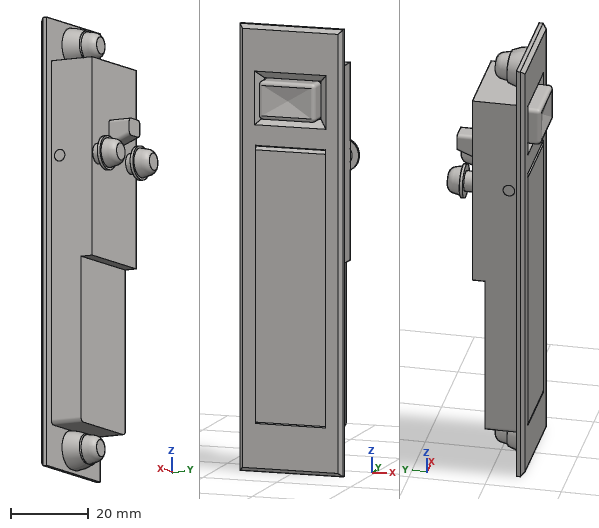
import cadquery as cq


plate_width = 28.0
plate_length = 117.0
plate_thickness = 2.1
plate_bevel = 1.0
front_y = -plate_thickness

box_width = 23.0
box_length = 94.9
box_depth = 12.0
box_low_depth = 8.8
box_step_z = -4.3
box_corner_radius = 1.2

button_width = 15.3
button_height = 10.1
button_z = 39.4
button_protrusion = 2.9
button_radius = 1.0
dish_depth = 1.0
recess_margin = 2.0
recess_depth = plate_thickness

paddle_width = 19.0
paddle_end_gap = 0.4
paddle_top_z = 26.7
paddle_bottom_z = -45.4
paddle_thickness = 7.0
paddle_bevel = 0.8
paddle_length = paddle_top_z - paddle_bottom_z
paddle_z = (paddle_top_z + paddle_bottom_z) / 2
pocket_length = paddle_length + 2 * paddle_end_gap
paddle_back_y = front_y + paddle_thickness

pin_radius = 1.5
pin_y = 2.5
pin_z = 22.6

latch_width = 5.5
latch_top_z = 32.4
latch_root_z = 25.6
latch_tip_z = 28.0
latch_reach = 6.0
latch_radius = 0.9
arm_overlap = 2.3

shank_radius = 2.7
flange_radius = 4.5
flange_thickness = 0.8
head_radius = 3.9
head_mid_radius = 3.69
head_mid_height = 0.9
head_shoulder_radius = 3.45
head_shoulder_height = 2.0
dome_radius = 2.98
dome_height = 3.0
head_top_radius = 2.2
head_height = 3.6
rear_screw_x = 8.5
rear_shank_length = 2.3

boss_z = 52.5
boss_height = 4.5
boss_straight = 1.9
boss_base_radius = 5.0
boss_mid_radius = 4.7
boss_top_radius = head_radius


def block(width, length, y_start, y_end, z_center=0.0):
    """Rectangular block centred on X, between two Y positions."""
    return (
        cq.Workplane("XY")
        .box(width, y_end - y_start, length)
        .translate((0, (y_start + y_end) / 2, z_center))
    )


def frustum(width, length, y, depth, inset, z_center):
    """Rectangle at y that shrinks by inset on each side over depth toward +Y."""
    return (
        cq.Workplane("XZ", origin=(0, y, z_center))
        .rect(width, length)
        .workplane(offset=-depth)
        .rect(width - 2 * inset, length - 2 * inset)
        .loft(ruled=True)
    )


def revolve_on_y(profile):
    """Turn an XY profile about the Y axis."""
    return profile.close().revolve(360, (0, 0, 0), (0, 1, 0))


def make_pin():
    return (
        cq.Workplane("YZ", origin=(-box_width / 2, pin_y, pin_z))
        .circle(pin_radius)
        .extrude(box_width)
    )


def make_button():
    """Rounded button with a shallow pyramid-shaped dish in its face, seated at the recess floor."""
    outer_y = front_y - button_protrusion
    back_y = front_y + recess_depth
    button = block(button_width, button_height, outer_y, back_y, button_z)
    button = button.edges("|Y or <Y").fillet(button_radius)
    dish_width = button_width - 2 * button_radius
    dish_height = button_height - 2 * button_radius
    half_width = dish_width / 2
    half_height = dish_height / 2
    corners = [
        cq.Vector(x, outer_y, button_z + z)
        for x, z in [
            (-half_width, -half_height),
            (half_width, -half_height),
            (half_width, half_height),
            (-half_width, half_height),
        ]
    ]
    apex = cq.Vector(0, outer_y + dish_depth, button_z)
    faces = [cq.Face.makeFromWires(cq.Wire.makePolygon(corners, close=True))]
    for start, end in zip(corners, corners[1:] + corners[:1]):
        faces.append(cq.Face.makeFromWires(cq.Wire.makePolygon([start, end, apex], close=True)))
    dish = cq.Solid.makeSolid(cq.Shell.makeShell(faces))
    return button.cut(cq.Workplane(dish))


def make_latch_arm():
    """Bar from the back of the paddle through the box, ending in a sloped hook."""
    arm = (
        cq.Workplane("YZ", origin=(-latch_width / 2, 0, 0))
        .moveTo(paddle_back_y - arm_overlap, latch_top_z)
        .lineTo(box_depth + latch_reach, latch_top_z)
        .lineTo(box_depth + latch_reach, latch_tip_z)
        .lineTo(box_depth, latch_root_z)
        .lineTo(paddle_back_y - arm_overlap, latch_root_z)
        .close()
        .extrude(latch_width)
    )
    long_edges = arm.edges("(>Z or <Z) and |Y").add(arm.edges("not(|X or |Y or |Z)"))
    return long_edges.fillet(latch_radius)


def make_paddle():
    paddle = block(paddle_width, paddle_length, front_y, paddle_back_y, paddle_z)
    paddle = paddle.edges("<Y and >Z").chamfer(paddle_bevel)
    return paddle.union(make_latch_arm()).cut(make_pin())


def make_housing():
    plate = block(plate_width, plate_length, front_y, 0)
    plate = plate.faces("<Y").chamfer(plate_bevel)
    half_length = box_length / 2
    box = (
        cq.Workplane("YZ", origin=(-box_width / 2, 0, 0))
        .moveTo(0, half_length)
        .lineTo(box_depth, half_length)
        .lineTo(box_depth, box_step_z)
        .lineTo(box_low_depth, box_step_z)
        .lineTo(box_low_depth, -half_length)
        .lineTo(0, -half_length)
        .close()
        .extrude(box_width)
    )
    box = box.edges("|Y and <Z").fillet(box_corner_radius)
    recess = frustum(
        button_width + 2 * recess_margin,
        button_height + 2 * recess_margin,
        front_y,
        recess_depth,
        recess_margin,
        button_z,
    )
    paddle_pocket = block(paddle_width, pocket_length, front_y, paddle_back_y, paddle_z)
    housing = plate.union(box).cut(recess).cut(paddle_pocket)
    return housing.cut(make_latch_arm()).cut(make_pin())


def make_boss(z):
    """Oblong boss, bored for its screw: two round ends joined by a short straight middle."""
    profile = (
        cq.Workplane("XY")
        .lineTo(boss_base_radius, 0)
        .threePointArc((boss_mid_radius, boss_height / 2), (boss_top_radius, boss_height))
        .lineTo(0, boss_height)
    )
    round_end = revolve_on_y(profile)
    middle = (
        cq.Workplane("YZ", origin=(-boss_straight / 2, 0, 0))
        .moveTo(0, boss_base_radius)
        .threePointArc((boss_height / 2, boss_mid_radius), (boss_height, boss_top_radius))
        .lineTo(boss_height, -boss_top_radius)
        .threePointArc((boss_height / 2, -boss_mid_radius), (0, -boss_base_radius))
        .close()
        .extrude(boss_straight)
    )
    boss = middle
    for side in (-1, 1):
        boss = boss.union(round_end.translate((side * boss_straight / 2, 0, 0)))
    bore = cq.Workplane("XZ").circle(shank_radius).extrude(-boss_height)
    return boss.cut(bore).translate((0, 0, z))


def make_screw(x, y, z, shank_length, flanged):
    """Screw along Y whose shank starts at (x, y, z)."""
    head_y = shank_length
    profile = cq.Workplane("XY").lineTo(shank_radius, 0).lineTo(shank_radius, shank_length)
    if flanged:
        head_y = shank_length + flange_thickness
        profile = profile.lineTo(flange_radius, shank_length).lineTo(flange_radius, head_y)
    profile = (
        profile.lineTo(head_radius, head_y)
        .lineTo(head_mid_radius, head_y + head_mid_height)
        .lineTo(head_shoulder_radius, head_y + head_shoulder_height)
        .threePointArc((dome_radius, head_y + dome_height), (head_top_radius, head_y + head_height))
        .lineTo(0, head_y + head_height)
    )
    return revolve_on_y(profile).translate((x, y, z))


housing = make_housing()
paddle = make_paddle()
button = make_button()
pin = make_pin()

rear_screws = [
    make_screw(side * rear_screw_x, box_depth, pin_z, rear_shank_length, True) for side in (-1, 1)
]
bosses = [make_boss(end * boss_z) for end in (-1, 1)]
end_screws = [make_screw(0, 0, end * boss_z, boss_height, False) for end in (-1, 1)]

bodies = [housing, paddle, button, pin, *rear_screws, *bosses, *end_screws]
result = cq.Compound.makeCompound([body.val() for body in bodies])